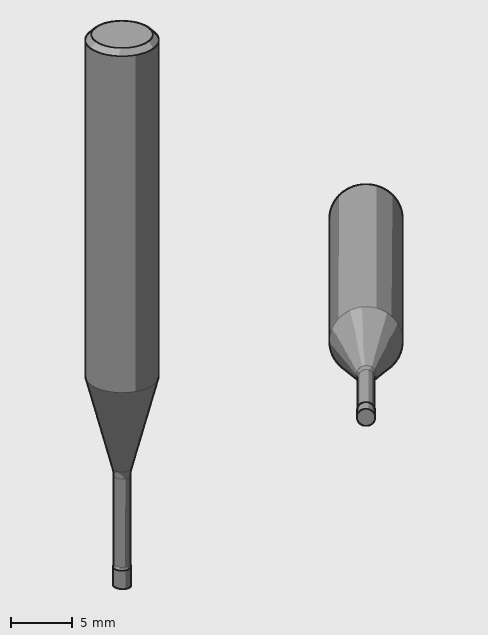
import cadquery as cq

total_length = 50.0
shank_diameter = 6.0
shank_radius = shank_diameter / 2
shank_chamfer = 0.5

shank_bottom = 19.0
taper_bottom = 10.7
neck_top = 10.0
neck_bottom = 2.0
cutter_top = 1.7

taper_end_radius = 0.8
neck_radius = 0.7
cutter_radius = 0.75

end_face_rise = 0.1


def make_holder():
    """Chamfered shank, taper, blend and neck, all turned about the Z axis.

    The blend is a concave arc that leaves the neck tangentially.
    """
    profile = (
        cq.Workplane("XZ")
        .moveTo(0, cutter_top)
        .lineTo(cutter_radius, cutter_top)
        .lineTo(neck_radius, neck_bottom)
        .lineTo(neck_radius, neck_top)
        .tangentArcPoint((taper_end_radius, taper_bottom), relative=False)
        .lineTo(shank_radius, shank_bottom)
        .lineTo(shank_radius, total_length - shank_chamfer)
        .lineTo(shank_radius - shank_chamfer, total_length)
        .lineTo(0, total_length)
        .close()
    )
    return profile.revolve(360, (0, 0), (0, 1))


def make_cutter():
    """Cylindrical cutting end with a slightly sloping lower face."""
    blank = cq.Workplane("XY").circle(cutter_radius).extrude(cutter_top)
    wedge = (
        cq.Workplane("XZ")
        .moveTo(-cutter_radius, 0)
        .lineTo(cutter_radius, 0)
        .lineTo(-cutter_radius, end_face_rise)
        .close()
        .extrude(cutter_radius, both=True)
    )
    return blank.cut(wedge)


holder = make_holder()
cutter = make_cutter()
result = cq.Compound.makeCompound([holder.val(), cutter.val()])